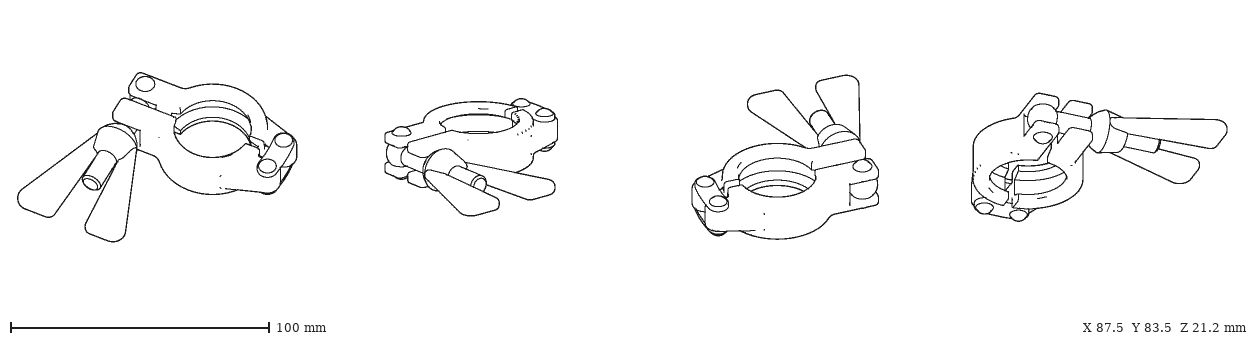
import cadquery as cq
import math

jaw_height = 16.5
ring_radius = 21.3
bore_radius = 15.0
half_gap = 2.0
edge_round = 1.0
groove_radius = 18.75
groove_mouth = 10.3
groove_floor = 6.8
arm_end_x = -37.95
arm_outer_y = 12.0
arm_corner_round = 2.0
arm_root_round = 5.0
slot_height = 8.2
slot_end_x = -25.4
hinge_x = 27.2
pin_y = 7.1
lug_radius = 5.1
lug_height = 8.9
lug_slope = math.radians(18.7)
web_end_x = 25.0
lug_root_round = 1.8
link_thickness = 2.0
link_radius = 3.99
link_bow = 0.4
link_edge_round = 0.5
pin_diameter = 4.8
bolt_pin_head_radius = 3.7
bolt_pin_top = 10.6
rivet_head_radius = 3.4
rivet_top = 8.4
rivet_bottom = -8.85
bolt_x = -32.5
bolt_diameter = 8.0
eye_radius = 6.0
bolt_end_y = -40.8
bolt_chamfer = 0.9
nut_top_y = -11.6
nut_dome_middle_y = -14.3
nut_dome_middle_radius = 6.8
nut_widest_y = -17.4
nut_bottom_y = -26.2
nut_radius = 8.5
nut_bottom_radius = 6.6
nut_bottom_round = 1.5
wing_thickness = 4.8
wing_edge_round = 2.0
wing_top_x = 8.4
wing_outer_x = 24.9
right_wing_inner_x = 7.3
left_wing_inner_x = 6.2
wing_bottom_y = -62.2
wing_outer_round = 5.0
wing_inner_round = 3.0

lug_top = lug_height / 2
lug_tangent_x = hinge_x + lug_radius * math.sin(lug_slope)
lug_tangent_y = pin_y + lug_radius * math.cos(lug_slope)
link_top = lug_top + link_thickness


def block(x0, x1, y0, y1, height):
    """Box between two X and two Y limits, centred on Z = 0."""
    return (
        cq.Workplane("XY")
        .box(x1 - x0, y1 - y0, height)
        .translate(((x0 + x1) / 2, (y0 + y1) / 2, 0))
    )


def cylinder(x, y, radius, bottom, top):
    """Vertical cylinder."""
    return cq.Workplane("XY", origin=(x, y, bottom)).circle(radius).extrude(top - bottom)


def dome_middle(radius, height):
    """Radius and drop below the apex of the point halfway along a dome's arc."""
    sphere_radius = (radius**2 + height**2) / (2 * height)
    half_angle = math.asin(radius / sphere_radius) / 2
    return sphere_radius * math.sin(half_angle), sphere_radius * (1 - math.cos(half_angle))


def domed_pin(x, y, head_radius, top, top_seat, bottom, bottom_seat):
    """Vertical pin whose two domed heads rest on the seats."""
    shank = pin_diameter / 2
    top_middle, top_drop = dome_middle(head_radius, top - top_seat)
    bottom_middle, bottom_drop = dome_middle(head_radius, bottom_seat - bottom)
    return (
        cq.Workplane("XZ")
        .moveTo(0, bottom)
        .threePointArc((bottom_middle, bottom + bottom_drop), (head_radius, bottom_seat))
        .lineTo(shank, bottom_seat)
        .lineTo(shank, top_seat)
        .lineTo(head_radius, top_seat)
        .threePointArc((top_middle, top - top_drop), (0, top))
        .close()
        .revolve(360, (0, 0, 0), (0, 1, 0))
        .translate((x, y, 0))
    )


def jaw_blank():
    """Half ring on the +Y side of the gap, with a slotted arm and rounded edges."""
    ring = cylinder(0, 0, ring_radius, -jaw_height / 2, jaw_height / 2)
    bore = cylinder(0, 0, bore_radius, -jaw_height / 2, jaw_height / 2)
    half_plane = block(-ring_radius, ring_radius, half_gap, ring_radius, jaw_height)
    arm = block(arm_end_x, 0, half_gap, arm_outer_y, jaw_height)
    arm = arm.edges("|Z and <X").fillet(arm_corner_round)
    body = ring.intersect(half_plane).union(arm).cut(bore)

    hinge_gap_end = cq.selectors.BoxSelector(
        (bore_radius - 0.9, half_gap - 0.9, -jaw_height), (ring_radius, half_gap + 0.1, jaw_height)
    )
    rims = cq.StringSyntaxSelector(">Z or <Z") - hinge_gap_end
    body = body.edges(rims).fillet(edge_round)

    arm_root = (-math.sqrt(ring_radius**2 - arm_outer_y**2), arm_outer_y, 0)
    body = body.edges("|Z").edges(cq.selectors.NearestToPointSelector(arm_root)).fillet(arm_root_round)

    body = body.cut(block(2 * arm_end_x, slot_end_x, 0, ring_radius, slot_height))
    lips = cq.selectors.BoxSelector(
        (2 * arm_end_x, 0, -slot_height / 2 - 0.1), (slot_end_x - 0.4, ring_radius, slot_height / 2 + 0.1)
    )
    return body.edges(lips).fillet(edge_round)


def lug_side_y(x):
    """Y of the sloped lug side, which is tangent to the round lug end."""
    return lug_tangent_y + (lug_tangent_x - x) * math.tan(lug_slope)


def lug_end():
    """Round hinge end of the lug, tangent to the gap face, with all edges rounded."""
    arc_middle_angle = -lug_slope / 2
    arc_middle = (
        hinge_x + lug_radius * math.cos(arc_middle_angle),
        pin_y + lug_radius * math.sin(arc_middle_angle),
    )
    return (
        cq.Workplane("XY", origin=(0, 0, -lug_top))
        .moveTo(bore_radius, half_gap)
        .lineTo(hinge_x, half_gap)
        .threePointArc(arc_middle, (lug_tangent_x, lug_tangent_y))
        .lineTo(bore_radius, lug_side_y(bore_radius))
        .close()
        .extrude(lug_height)
        .faces("|Z")
        .edges()
        .fillet(edge_round)
        .cut(cylinder(0, 0, ring_radius, -lug_top, lug_top))
    )


def lug_web():
    """Inner part of the lug, square at the gap face and rounded along the sloped side."""
    inner_x = ring_radius / 2
    return (
        cq.Workplane("XY", origin=(0, 0, -lug_top))
        .polyline(
            [
                (inner_x, half_gap),
                (web_end_x, half_gap),
                (web_end_x, lug_side_y(web_end_x)),
                (inner_x, lug_side_y(inner_x)),
            ]
        )
        .close()
        .extrude(lug_height)
        .faces("|Z")
        .edges(">(0.33, 1, 0)")
        .fillet(edge_round)
        .cut(cylinder(0, 0, ring_radius - 0.9, -lug_top, lug_top))
    )


def is_lug_root(edge):
    """True for an edge where the lug meets the outer wall of the ring."""
    return all(
        abs(math.hypot(point.x, point.y) - ring_radius) < 0.01 and abs(point.z) < lug_top + 0.01 and point.x > 0
        for point in (edge.startPoint(), edge.positionAt(0.5), edge.endPoint())
    )


def add_lug(blank):
    """Join the lug to the ring with a rounded root all the way round."""
    body = blank.union(lug_web())
    root = [edge for edge in body.edges().vals() if is_lug_root(edge)]
    body = body.newObject(root).fillet(lug_root_round)
    strip = block(ring_radius, web_end_x, half_gap, half_gap + edge_round, jaw_height)
    return body.cut(strip).union(lug_end())


def groove():
    """Groove with tapered flanks, revolved about the ring axis."""
    return (
        cq.Workplane("XZ")
        .polyline(
            [
                (0, -groove_mouth / 2),
                (bore_radius, -groove_mouth / 2),
                (groove_radius, -groove_floor / 2),
                (groove_radius, groove_floor / 2),
                (bore_radius, groove_mouth / 2),
                (0, groove_mouth / 2),
            ]
        )
        .close()
        .revolve(360, (0, 0, 0), (0, 1, 0))
    )


def jaw():
    """Clamp jaw with its rivet hole."""
    rivet_hole = cylinder(hinge_x, pin_y, pin_diameter / 2, -lug_top, lug_top)
    return add_lug(jaw_blank()).cut(groove()).cut(rivet_hole)


plain_jaw = jaw()
pin_hole = cylinder(bolt_x, pin_y, pin_diameter / 2, -jaw_height, jaw_height)
bolt_jaw = plain_jaw.cut(pin_hole)
closing_jaw = plain_jaw.mirror("XZ")


def link(bottom):
    """Bowed plate with round ends, its rim rounded on the face away from the jaws."""
    bow_radius = (pin_y**2 + link_bow**2) / (2 * link_bow)
    bow_centre_x = hinge_x + link_bow - bow_radius
    half_angle = math.asin(pin_y / bow_radius)

    def point(radius, angle):
        return bow_centre_x + radius * math.cos(angle), radius * math.sin(angle)

    outer = bow_radius + link_radius
    inner = bow_radius - link_radius
    end_angle = half_angle + math.pi / 2
    tip_x = hinge_x + link_radius * math.cos(end_angle)
    tip_y = pin_y + link_radius * math.sin(end_angle)
    return (
        cq.Workplane("XY", origin=(0, 0, bottom))
        .moveTo(*point(outer, -half_angle))
        .threePointArc(point(outer, 0), point(outer, half_angle))
        .threePointArc((tip_x, tip_y), point(inner, half_angle))
        .threePointArc(point(inner, 0), point(inner, -half_angle))
        .threePointArc((tip_x, -tip_y), point(outer, -half_angle))
        .close()
        .extrude(link_thickness)
        .faces(">Z" if bottom > 0 else "<Z")
        .edges()
        .fillet(link_edge_round)
        .cut(cylinder(hinge_x, pin_y, pin_diameter / 2, -jaw_height, jaw_height))
        .cut(cylinder(hinge_x, -pin_y, pin_diameter / 2, -jaw_height, jaw_height))
    )


links = [link(bottom) for bottom in (lug_top, -link_top)]

rivets = [
    domed_pin(hinge_x, y, rivet_head_radius, rivet_top, link_top, rivet_bottom, -link_top)
    for y in (pin_y, -pin_y)
]
bolt_pin = domed_pin(
    bolt_x, pin_y, bolt_pin_head_radius, bolt_pin_top, jaw_height / 2, -bolt_pin_top, -jaw_height / 2
)


def eye_bolt():
    """Ball eye with flat cheeks on a round shank running toward -Y."""
    cheeks = block(2 * arm_end_x, 0, -ring_radius, ring_radius, slot_height)
    eye = cq.Workplane("XY").sphere(eye_radius).translate((bolt_x, pin_y, 0)).intersect(cheeks)
    shank = (
        cq.Workplane("XZ", origin=(bolt_x, pin_y, 0))
        .circle(bolt_diameter / 2)
        .extrude(pin_y - bolt_end_y)
        .faces("<Y")
        .chamfer(bolt_chamfer)
    )
    return eye.union(shank).cut(pin_hole)


def nut_hub():
    """Turned hub: a domed seat toward the jaws and a taper toward the bolt end."""
    return (
        cq.Workplane("XY")
        .moveTo(0, nut_top_y)
        .lineTo(bolt_diameter / 2, nut_top_y)
        .threePointArc((nut_dome_middle_radius, nut_dome_middle_y), (nut_radius, nut_widest_y))
        .lineTo(nut_bottom_radius, nut_bottom_y)
        .lineTo(0, nut_bottom_y)
        .close()
        .revolve(360, (0, 0, 0), (0, 1, 0))
        .faces("<Y")
        .edges()
        .fillet(nut_bottom_round)
    )


def wing(inner_x):
    """Wing on the +X side of the bolt axis, its inner bottom corner at inner_x."""
    inner_corner = (inner_x, wing_bottom_y)
    outer_corner = (wing_outer_x, wing_bottom_y)
    return (
        cq.Workplane("XY", origin=(0, 0, -wing_thickness / 2))
        .polyline(
            [
                (wing_top_x, nut_widest_y),
                outer_corner,
                inner_corner,
                (bolt_diameter / 2, nut_widest_y),
            ]
        )
        .close()
        .extrude(wing_thickness)
        .edges(cq.selectors.NearestToPointSelector((*outer_corner, 0)))
        .fillet(wing_outer_round)
        .edges(cq.selectors.NearestToPointSelector((*inner_corner, 0)))
        .fillet(wing_inner_round)
        .faces("|Z")
        .edges()
        .fillet(wing_edge_round)
    )


def wing_nut():
    """Hub with a wing on each side and a through hole for the bolt."""
    right_wing = wing(right_wing_inner_x)
    left_wing = wing(left_wing_inner_x).mirror("YZ")
    thread_hole = cq.Workplane("XZ").circle(bolt_diameter / 2).extrude(-2 * wing_bottom_y, both=True)
    nut = nut_hub().union(right_wing).union(left_wing).cut(thread_hole)
    return nut.translate((bolt_x, 0, 0))


result = cq.Compound.makeCompound(
    [
        bolt_jaw.val(),
        closing_jaw.val(),
        *[plate.val() for plate in links],
        *[rivet.val() for rivet in rivets],
        bolt_pin.val(),
        eye_bolt().val(),
        wing_nut().val(),
    ]
)